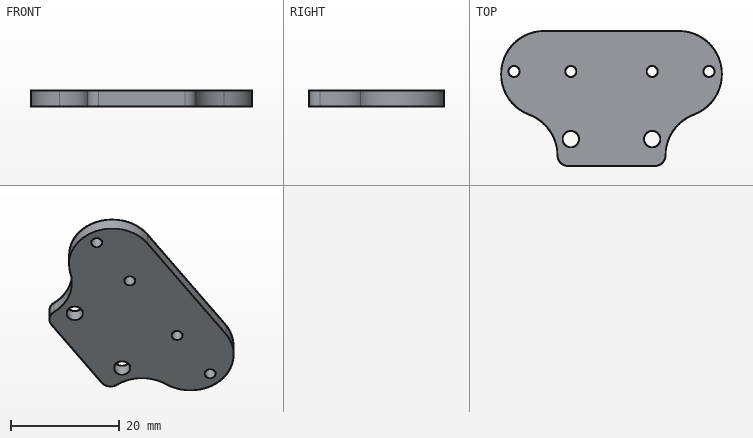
import cadquery as cq
import math

length = 40.85
width = 25.0
thickness = 3.0
lobe_radius = 8.0
neck_radius = 8.0
foot_width = 20.02

small_hole_diameter = 2.0
large_hole_diameter = 3.0
inner_hole_x = 7.5
outer_hole_x = 18.0
small_hole_y = 17.5
large_hole_y = 5.0

lobe_x = length / 2 - lobe_radius
lobe_y = width - lobe_radius
foot_x = foot_width / 2
neck_x = foot_x + neck_radius

center_distance = lobe_radius + neck_radius
neck_y = lobe_y - math.sqrt(center_distance**2 - (neck_x - lobe_x) ** 2)
corner_radius = neck_y
blend_fraction = lobe_radius / center_distance
blend_x = lobe_x + blend_fraction * (neck_x - lobe_x)
blend_y = lobe_y + blend_fraction * (neck_y - lobe_y)


def make_plate():
    """Symmetric plate with two round lobes narrowing to a foot."""
    neck_mid_angle = (math.pi + math.atan2(blend_y - neck_y, blend_x - neck_x)) / 2
    neck_mid_x = neck_x + neck_radius * math.cos(neck_mid_angle)
    neck_mid_y = neck_y + neck_radius * math.sin(neck_mid_angle)
    corner_x = foot_x - corner_radius
    corner_mid_x = corner_x + corner_radius * math.sqrt(0.5)
    corner_mid_y = corner_radius * (1 - math.sqrt(0.5))
    lobe_end_x = length / 2
    return (
        cq.Workplane("XY")
        .moveTo(-corner_x, 0)
        .lineTo(corner_x, 0)
        .threePointArc((corner_mid_x, corner_mid_y), (foot_x, neck_y))
        .threePointArc((neck_mid_x, neck_mid_y), (blend_x, blend_y))
        .threePointArc((lobe_end_x, lobe_y), (lobe_x, width))
        .lineTo(-lobe_x, width)
        .threePointArc((-lobe_end_x, lobe_y), (-blend_x, blend_y))
        .threePointArc((-neck_mid_x, neck_mid_y), (-foot_x, neck_y))
        .threePointArc((-corner_mid_x, corner_mid_y), (-corner_x, 0))
        .close()
        .extrude(thickness)
    )


def make_holes(points, diameter):
    """Cylinders that cut through the full plate thickness."""
    return cq.Workplane("XY").pushPoints(points).circle(diameter / 2).extrude(thickness)


small_hole_points = [
    (side * x, small_hole_y) for side in (-1, 1) for x in (inner_hole_x, outer_hole_x)
]
large_hole_points = [(side * inner_hole_x, large_hole_y) for side in (-1, 1)]

result = (
    make_plate()
    .cut(make_holes(small_hole_points, small_hole_diameter))
    .cut(make_holes(large_hole_points, large_hole_diameter))
)